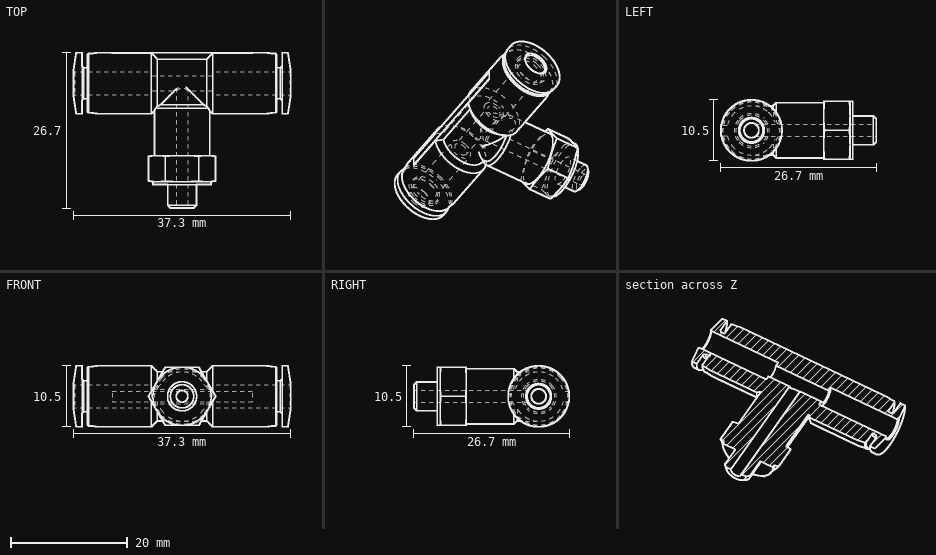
import cadquery as cq
import math


neck_radius = 8.5 / 2
sleeve_radius = 10.5 / 2
sleeve_shoulder = sleeve_radius - neck_radius
neck_half_length = 4.25
sleeve_taper_start = 14.55
sleeve_taper_length = 1.0
sleeve_end = 16.24
end_ring_radius = 10.2 / 2
end_ring_chamfer = 0.2

overall_length = 37.29
collar_stem_radius = 5.37 / 2
collar_inner_face = 17.15
collar_stem_flare = 0.28
collar_radius = 10.5 / 2
collar_rim_end = 18.05
collar_edge_fillet = 0.15
collar_face_radius = 4.4 / 2

tube_bore_radius = 3.97 / 2
tube_stop = 5.25
flow_bore_radius = 2.5 / 2
thread_bore_radius = 2.0 / 2

rib_length = 24.0
rib_thickness = 1.8

branch_radius = 9.5 / 2
branch_cone_start = 3.7
branch_cone_end = 4.25
nut_start = 12.4
nut_length = 4.5
nut_across_flats = 10.0
nut_chamfer_angle = 10.0
washer_radius = 10.0 / 2
washer_thickness = 0.5
thread_radius = 5.0 / 2
thread_length = 4.0
thread_chamfer = 0.5

nut_end = nut_start + nut_length
washer_end = nut_end + washer_thickness
thread_end = washer_end + thread_length


def make_half_run():
    """Half of the run on the +X side, turned about the X axis."""
    half_length = overall_length / 2
    rounded_edge_end = (collar_rim_end + collar_edge_fillet, collar_radius - collar_edge_fillet)
    taper_end = sleeve_taper_start + sleeve_taper_length
    return (
        cq.Workplane("XY")
        .moveTo(0, 0)
        .lineTo(0, neck_radius)
        .lineTo(neck_half_length, neck_radius)
        .lineTo(neck_half_length + sleeve_shoulder, sleeve_radius)
        .lineTo(sleeve_taper_start, sleeve_radius)
        .lineTo(taper_end, end_ring_radius)
        .lineTo(sleeve_end - end_ring_chamfer, end_ring_radius)
        .lineTo(sleeve_end, end_ring_radius - end_ring_chamfer)
        .lineTo(sleeve_end, collar_stem_radius)
        .lineTo(collar_inner_face - collar_stem_flare, collar_stem_radius)
        .lineTo(collar_inner_face, collar_stem_radius + collar_stem_flare)
        .lineTo(collar_inner_face, collar_radius)
        .lineTo(collar_rim_end, collar_radius)
        .radiusArc(rounded_edge_end, collar_edge_fillet)
        .lineTo(half_length, collar_face_radius)
        .lineTo(half_length, 0)
        .close()
        .revolve(360, (0, 0, 0), (1, 0, 0))
    )


def make_half_bore():
    """Tube socket and flow bore on the +X side, with a chamfered mouth."""
    half_length = overall_length / 2
    mouth_chamfer = collar_face_radius - tube_bore_radius
    return (
        cq.Workplane("XY")
        .moveTo(0, 0)
        .lineTo(0, flow_bore_radius)
        .lineTo(tube_stop, flow_bore_radius)
        .lineTo(tube_stop, tube_bore_radius)
        .lineTo(half_length - mouth_chamfer, tube_bore_radius)
        .lineTo(half_length, collar_face_radius)
        .lineTo(half_length, 0)
        .close()
        .revolve(360, (0, 0, 0), (1, 0, 0))
    )


def with_mirror(half):
    """Join a half with its mirror image across the YZ plane."""
    return half.union(half.mirror("YZ"))


def make_branch():
    """Branch stem, washer and thread, turned about the Y axis.

    The stem meets the neck at equal radius, so the two join along mitre lines.
    """
    return (
        cq.Workplane("XY")
        .moveTo(0, 0)
        .lineTo(neck_radius, 0)
        .lineTo(neck_radius, -branch_cone_start)
        .lineTo(branch_radius, -branch_cone_end)
        .lineTo(branch_radius, -nut_end)
        .lineTo(washer_radius, -nut_end)
        .lineTo(washer_radius, -washer_end)
        .lineTo(thread_radius, -washer_end)
        .lineTo(thread_radius, -(thread_end - thread_chamfer))
        .lineTo(thread_radius - thread_chamfer, -thread_end)
        .lineTo(0, -thread_end)
        .close()
        .revolve(360, (0, 0, 0), (0, 1, 0))
    )


def make_nut():
    """Hexagon with corners on the X axis, its corners bevelled at both ends."""
    flat_radius = nut_across_flats / 2
    corner_radius = flat_radius / math.cos(math.radians(30))
    bevel_depth = (corner_radius - flat_radius) * math.tan(math.radians(nut_chamfer_angle))
    hexagon = (
        cq.Workplane("XZ", origin=(0, -nut_start, 0))
        .polygon(6, 2 * corner_radius)
        .extrude(nut_length)
    )
    bevel_envelope = (
        cq.Workplane("XY")
        .moveTo(0, -nut_start)
        .lineTo(flat_radius, -nut_start)
        .lineTo(corner_radius, -(nut_start + bevel_depth))
        .lineTo(corner_radius, -(nut_end - bevel_depth))
        .lineTo(flat_radius, -nut_end)
        .lineTo(0, -nut_end)
        .close()
        .revolve(360, (0, 0, 0), (0, 1, 0))
    )
    return hexagon.intersect(bevel_envelope)


def make_thread_bore():
    """Flow bore from the run axis out through the thread."""
    return cq.Workplane("XZ").circle(thread_bore_radius).extrude(thread_end)


def make_back_rib():
    """Flat rib that bridges the neck and ends flush with the back of the sleeves."""
    rib_start = flow_bore_radius
    rib_depth = sleeve_radius - rib_start
    return (
        cq.Workplane("XY", origin=(0, rib_start, 0))
        .box(rib_length, rib_depth, rib_thickness, centered=(True, False, True))
    )


body = with_mirror(make_half_run()).union(make_branch()).union(make_nut()).union(make_back_rib())
result = body.cut(with_mirror(make_half_bore())).cut(make_thread_bore())